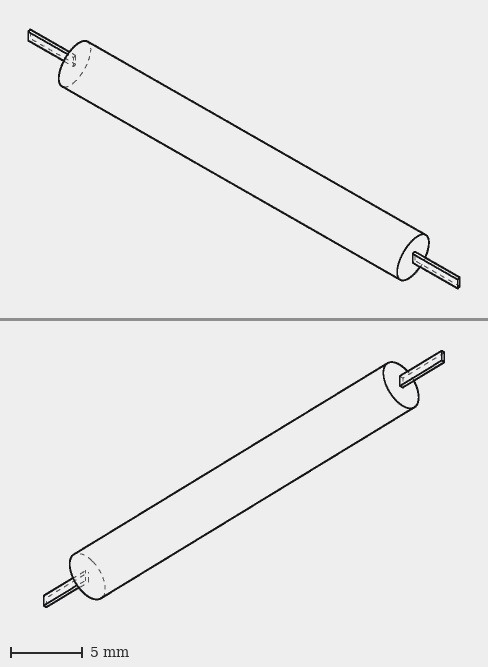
import cadquery as cq

overall_length = 38.08
tube_length = 30.0
tube_diameter = 3.6
lead_width = 0.9
lead_thickness = 0.25
lead_offset = 0.02
left_lead_height = 0.25
right_lead_height = 0.05
end_gap = 0.05

lead_length = (overall_length - tube_length) / 2 - end_gap


def make_tube():
    """Solid round body centred on the origin."""
    return (
        cq.Workplane("YZ")
        .workplane(offset=-tube_length / 2)
        .circle(tube_diameter / 2)
        .extrude(tube_length)
    )


def make_lead(side, height):
    """Flat lead just clear of one end face; side is -1 for left, +1 for right."""
    center_x = side * (overall_length - lead_length) / 2
    blank = cq.Workplane("XY").box(lead_length, lead_thickness, lead_width)
    return blank.translate((center_x, lead_offset, height))


tube = make_tube()
leads = [make_lead(side, height) for side, height in ((-1, left_lead_height), (1, right_lead_height))]

result = cq.Compound.makeCompound([tube.val(), *[lead.val() for lead in leads]])